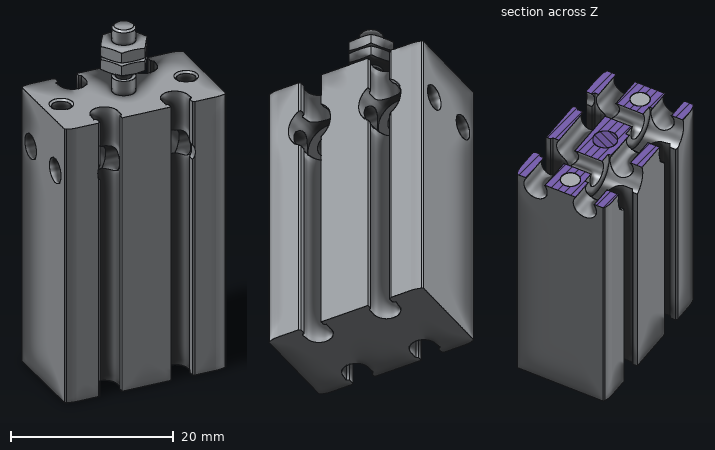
import cadquery as cq
import math

HOUSING_WIDTH = 13.0
HOUSING_LENGTH = 22.0
HOUSING_HEIGHT = 38.0
HALF_WIDTH = HOUSING_WIDTH / 2
HALF_LENGTH = HOUSING_LENGTH / 2

CORNER_FLAT_X = 0.4
CORNER_FLAT_Y = 0.2
CORNER_CURVE_DROP = 0.25
CORNER_CURVE_START = 9.5

SLOT_CENTER_Y = 4.8
SLOT_RADIUS = 1.77
OUTER_POCKET_Y = 6.67
SLOT_CENTER_DEPTH = 1.96
OUTER_LIP_CHAMFER_X = 0.15
OUTER_LIP_CHAMFER_Y = 0.27
OUTER_LIP_Y = 6.3
INNER_LIP_Y = 3.33
OUTER_LIP_DEPTH = 0.95
INNER_LIP_DEPTH = 0.65
LIP_STEP_SLOPE = 0.2

MOUNT_HEIGHT = HOUSING_HEIGHT - 7.0
MOUNT_DIAMETER = 3.3
SIDE_MOUNT_Y = 5.0
END_MOUNT_X = 3.5
COUNTERBORE_DIAMETER = 6.0
COUNTERBORE_DEPTH = 4.8

THREAD_DIAMETER = 3.0
THREAD_CORE_DIAMETER = 2.46
THREAD_CHAMFER = (THREAD_DIAMETER - THREAD_CORE_DIAMETER) / 2
TOP_HOLE_Y = 8.5
TOP_HOLE_DEPTH = 6.0

ROD_DIAMETER = THREAD_DIAMETER
ROD_SEAT_DEPTH = 6.0
ROD_LENGTH = 9.0
NECK_DIAMETER = 2.0
NECK_BOTTOM = 2.0
NECK_TOP = 2.6
NECK_CONE_DIAMETER = 2.2
NECK_CONE_TOP = 3.0

NUT_WIDTH = 5.5
NUT_THICKNESS = 1.8
NUT_COUNT = 2
NUT_BOTTOM = 3.4
NUT_FACE_DIAMETER = 4.6
NUT_CHAMFER_ANGLE = 15.0


def housing_block():
    flat_x = HALF_WIDTH - CORNER_CURVE_DROP
    flat_y = HALF_LENGTH - CORNER_FLAT_Y
    end_x = HALF_WIDTH - CORNER_FLAT_X

    curve_mid_x = HALF_WIDTH - CORNER_CURVE_DROP / 4
    curve_mid_y = (CORNER_CURVE_START + flat_y) / 2

    quarter = (
        cq.Workplane("XY")
        .lineTo(HALF_WIDTH, 0)
        .lineTo(HALF_WIDTH, CORNER_CURVE_START)
        .threePointArc((curve_mid_x, curve_mid_y), (flat_x, flat_y))
        .lineTo(end_x, HALF_LENGTH)
        .lineTo(0, HALF_LENGTH)
        .close()
        .extrude(HOUSING_HEIGHT)
    )
    half = quarter.union(quarter.mirror("YZ"))
    return half.union(half.mirror("XZ")).clean()


def sensor_slot():
    """Slot in the +X, +Y quarter."""
    center_x = HALF_WIDTH - SLOT_CENTER_DEPTH
    outer_chamfer_x = HALF_WIDTH - OUTER_LIP_CHAMFER_X
    outer_step_x = HALF_WIDTH - OUTER_LIP_DEPTH
    inner_step_x = HALF_WIDTH - INNER_LIP_DEPTH
    arc_end_y = SLOT_CENTER_Y + SLOT_RADIUS
    inner_wall_y = SLOT_CENTER_Y - SLOT_RADIUS
    return (
        cq.Workplane("XY")
        .moveTo(HALF_WIDTH, INNER_LIP_Y)
        .lineTo(inner_step_x, INNER_LIP_Y)
        .lineTo(inner_step_x - LIP_STEP_SLOPE, inner_wall_y)
        .lineTo(center_x, inner_wall_y)
        .threePointArc((center_x - SLOT_RADIUS, SLOT_CENTER_Y), (center_x, arc_end_y))
        .lineTo(outer_step_x - LIP_STEP_SLOPE, OUTER_POCKET_Y)
        .lineTo(outer_step_x, OUTER_LIP_Y)
        .lineTo(outer_chamfer_x, OUTER_LIP_Y)
        .lineTo(HALF_WIDTH, OUTER_LIP_Y + OUTER_LIP_CHAMFER_Y)
        .close()
        .extrude(HOUSING_HEIGHT)
    )


def cut_slots(body):
    right_slot = sensor_slot()
    for slot in (right_slot, right_slot.mirror("YZ")):
        body = body.cut(slot).cut(slot.mirror("XZ"))
    return body


def cut_mounting_holes(body):
    side_plane = cq.Workplane("YZ", origin=(-HALF_WIDTH, 0, MOUNT_HEIGHT))
    side_points = [(-SIDE_MOUNT_Y, 0), (SIDE_MOUNT_Y, 0)]
    side_holes = side_plane.pushPoints(side_points).circle(MOUNT_DIAMETER / 2).extrude(HOUSING_WIDTH)
    counterbores = (
        side_plane.pushPoints(side_points).circle(COUNTERBORE_DIAMETER / 2).extrude(COUNTERBORE_DEPTH)
    )
    end_holes = (
        cq.Workplane("XZ", origin=(0, HALF_LENGTH, MOUNT_HEIGHT))
        .pushPoints([(-END_MOUNT_X, 0), (END_MOUNT_X, 0)])
        .circle(MOUNT_DIAMETER / 2)
        .extrude(HOUSING_LENGTH)
    )
    return body.cut(side_holes).cut(counterbores).cut(end_holes)


def cut_top_holes(body):
    hole = (
        cq.Workplane("XZ")
        .lineTo(THREAD_DIAMETER / 2, 0)
        .lineTo(THREAD_CORE_DIAMETER / 2, -THREAD_CHAMFER)
        .lineTo(THREAD_CORE_DIAMETER / 2, -TOP_HOLE_DEPTH)
        .lineTo(0, -TOP_HOLE_DEPTH)
        .close()
        .revolve(360, (0, 0), (0, 1))
    )
    for y in (-TOP_HOLE_Y, TOP_HOLE_Y):
        body = body.cut(hole.translate((0, y, HOUSING_HEIGHT)))
    return body


def cut_rod_seat(body):
    seat = (
        cq.Workplane("XY", origin=(0, 0, HOUSING_HEIGHT))
        .circle(ROD_DIAMETER / 2)
        .extrude(-ROD_SEAT_DEPTH)
    )
    return body.cut(seat)


def make_housing():
    body = cut_slots(housing_block())
    body = cut_mounting_holes(body)
    body = cut_top_holes(body)
    return cut_rod_seat(body)


def make_rod():
    rod_radius = ROD_DIAMETER / 2
    neck_radius = NECK_DIAMETER / 2
    return (
        cq.Workplane("XZ")
        .moveTo(0, -ROD_SEAT_DEPTH)
        .lineTo(rod_radius, -ROD_SEAT_DEPTH)
        .lineTo(rod_radius, NECK_BOTTOM)
        .lineTo(neck_radius, NECK_BOTTOM)
        .lineTo(neck_radius, NECK_TOP)
        .lineTo(NECK_CONE_DIAMETER / 2, NECK_TOP)
        .lineTo(rod_radius, NECK_CONE_TOP)
        .lineTo(rod_radius, ROD_LENGTH - THREAD_CHAMFER)
        .lineTo(THREAD_CORE_DIAMETER / 2, ROD_LENGTH)
        .lineTo(0, ROD_LENGTH)
        .close()
        .revolve(360, (0, 0), (0, 1))
        .translate((0, 0, HOUSING_HEIGHT))
    )


def make_nut(bottom):
    """Nut with its lower face at the given height and both ends chamfered by a cone."""
    corner_radius = NUT_WIDTH / 2 / math.cos(math.radians(30))
    face_radius = NUT_FACE_DIAMETER / 2
    chamfer_height = (corner_radius - face_radius) * math.tan(math.radians(NUT_CHAMFER_ANGLE))
    hexagon = (
        cq.Workplane("XY")
        .polygon(6, 2 * corner_radius)
        .extrude(NUT_THICKNESS)
        .rotate((0, 0, 0), (0, 0, 1), 30)
    )
    chamfer_envelope = (
        cq.Workplane("XZ")
        .lineTo(face_radius, 0)
        .lineTo(corner_radius, chamfer_height)
        .lineTo(corner_radius, NUT_THICKNESS - chamfer_height)
        .lineTo(face_radius, NUT_THICKNESS)
        .lineTo(0, NUT_THICKNESS)
        .close()
        .revolve(360, (0, 0), (0, 1))
    )
    bore = cq.Workplane("XY").circle(ROD_DIAMETER / 2).extrude(NUT_THICKNESS)
    return hexagon.intersect(chamfer_envelope).cut(bore).translate((0, 0, bottom))


housing = make_housing()
rod = make_rod()
nuts = [make_nut(HOUSING_HEIGHT + NUT_BOTTOM + i * NUT_THICKNESS) for i in range(NUT_COUNT)]

result = cq.Compound.makeCompound([housing.val(), rod.val(), *[nut.val() for nut in nuts]])